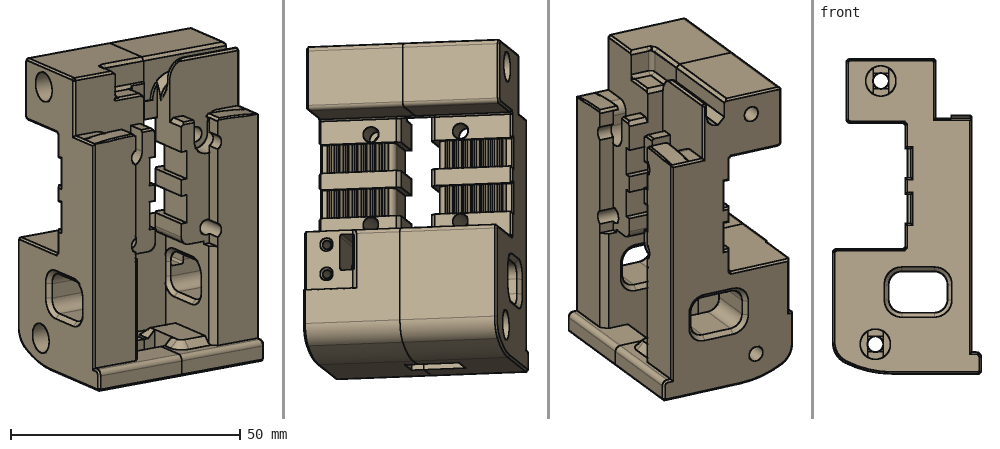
import cadquery as cq
import math


HALF_WIDTH = 21.6
HEIGHT = 68.75
FOOT_X = 32.4
FOOT_TOP = 4.8
FOOT_RADIUS = 1.2
BACK_X = 30.35
SHELF_Z = 55.75
UPPER_LEFT = 2.9
UPPER_RIGHT = 22.5
UPPER_BOTTOM = 54.7
LOWER_TOP = 27.3
WEB_X = 15.8
UPPER_ROUND = 1.0
LOWER_ROUND = 0.9
EDGE_CHAMFER = 0.5
INNER_CHAMFER = 0.4
END_CHAMFER = 0.45
BELLY_RADIUS = 22.9
BELLY_X = 13.0
CORNER_RADIUS = 5.0

SCREW_Y = 10.0
SCREW_LEVELS = (31.0, 51.0)
SCREW_DIAMETER = 3.4
HEAD_RADIUS = 3.2
BELT_LEVELS = (36.0, 46.0)
BELT_WIDTH = 6.3
BELT_DEPTH = 1.25
BELT_CHANNEL_Y = 4.8
BELT_ROUND = 1.4
TOOTH_PITCH = 2.0
TOOTH_COUNT = 7
FIRST_TOOTH_Y = 19.2
TOOTH_BASE = 1.6
TOOTH_TIP = 0.4
TOOTH_HEIGHT = 0.75

CHANNEL_Y = 3.4
WEB_CHAMFER = 0.9
WEB_BACK_X = 27.05
WEB_BOTTOM = 27.9
WEB_BOTTOM_RADIUS = 1.9
WEB_BACK_CHAMFER = 0.45
COLUMN_Y = 10.7
CAVITY_X = 11.8
CAVITY_Y = 9.3
CAVITY_MOUTH_CHAMFER = 1.4
FLOOR_SLOT_X = (17.5, 24.2)
PAD_START_X = 14.0
PAD_X = 29.3
PAD_RADIUS = 2.9
PAD_Y = 1.0
PAD_HEIGHT = 1.75
FLOOR_SLOT_END_Y = PAD_Y + PAD_HEIGHT

TAB_X = 25.8
TAB_TOP = 56.4
TAB_BACK_CHAMFER = 0.35
TAB_INNER_ROUND = 0.6
SHELF_ROUND = 2.4

SEAT_X = 17.2
SEAT_Z = 62.5
SEAT_END_Y = 10.9
SEAT_CORNER_RADIUS = 1.0
SEAT_FLOOR_CHAMFER = 0.8
SEAT_TOP_CHAMFER = 0.75
CABLE_PASS_X = 17.55
TROUGH_Z = 63.05
TROUGH_SLOPE = 1.6
TROUGH_FILLET = 2.7
BEND_RADIUS = 4.2
FIN_THICKNESS = 0.85
FIN_X = UPPER_RIGHT - FIN_THICKNESS

BOLT_POSITIONS = ((10.5, 63.9), (9.3, 6.5))
BOLT_DIAMETER = 3.4
BOLT_HEAD_DIAMETER = 6.6
BOLT_HEAD_DEPTH = 8.0
BRIDGE_STEP = 0.3

OVAL_X = 18.62
OVAL_Z = 17.87
OVAL_WIDTH = 12.75
OVAL_HEIGHT = 8.95
OVAL_RADIUS = 2.85
OVAL_CHAMFER = 1.0

RECESS_DEPTH = 0.9
RECESS_Y = 10.7
RECESS_Z = 14.3
RECESS_CHAMFER = 1.0
PILOT_Y = 16.6
PILOT_LEVELS = (17.8, 24.3)
PILOT_DIAMETER = 1.9
PILOT_CHAMFER = 0.5
PILOT_DEPTH = 8.0
WIRE_SLOT_Y = (10.4, 13.6)
WIRE_SLOT_Z = (18.5, 26.4)
WIRE_SLOT_CORNER = 0.5

MARGIN = 1.0
NEARLY_FULL = 0.999


def box(x, y, z):
    """Box between the two values given for each axis."""
    size = (x[1] - x[0], y[1] - y[0], z[1] - z[0])
    return cq.Workplane("XY").box(*size, centered=False).translate((x[0], y[0], z[0]))


def prism_x(points, x):
    """Prism along X over an outline of (y, z) points."""
    return cq.Workplane("YZ", origin=(x[0], 0, 0)).polyline(points).close().extrude(x[1] - x[0])


def prism_y(points, y):
    """Prism along Y over an outline of (x, z) points."""
    return cq.Workplane("XZ", origin=(0, y[0], 0)).polyline(points).close().extrude(y[0] - y[1])


def prism_z(points, z):
    """Prism along Z over an outline of (x, y) points."""
    return cq.Workplane("XY", origin=(0, 0, z[0])).polyline(points).close().extrude(z[1] - z[0])


def cylinder_x(radius, y, z, x):
    """Cylinder along X between the two values given for x."""
    return cq.Workplane("YZ", origin=(x[0], y, z)).circle(radius).extrude(x[1] - x[0])


def profile_block():
    """Extruded outline shared by both halves, with a chamfered outer end."""
    corner_z = BELLY_RADIUS - math.sqrt((BELLY_RADIUS - CORNER_RADIUS) ** 2 - (BELLY_X - CORNER_RADIUS) ** 2)
    belly_tilt = math.asin((BELLY_X - CORNER_RADIUS) / (BELLY_RADIUS - CORNER_RADIUS))
    corner_turn = (math.pi / 2 - belly_tilt) / 2

    def on_belly(tilt):
        return BELLY_X - BELLY_RADIUS * math.sin(tilt), BELLY_RADIUS * (1 - math.cos(tilt))

    corner_middle = (
        CORNER_RADIUS * (1 - math.cos(corner_turn)),
        corner_z - CORNER_RADIUS * math.sin(corner_turn),
    )
    foot_middle = (
        FOOT_X - FOOT_RADIUS * (1 - math.sqrt(0.5)),
        FOOT_TOP - FOOT_RADIUS * (1 - math.sqrt(0.5)),
    )
    outline = (
        cq.Workplane("XZ")
        .moveTo(UPPER_LEFT, HEIGHT)
        .lineTo(UPPER_RIGHT - EDGE_CHAMFER, HEIGHT)
        .lineTo(UPPER_RIGHT, HEIGHT - EDGE_CHAMFER)
        .lineTo(UPPER_RIGHT, SHELF_Z)
        .lineTo(BACK_X, SHELF_Z)
        .lineTo(BACK_X, FOOT_TOP)
        .lineTo(FOOT_X - FOOT_RADIUS, FOOT_TOP)
        .threePointArc(foot_middle, (FOOT_X, FOOT_TOP - FOOT_RADIUS))
        .lineTo(FOOT_X, EDGE_CHAMFER)
        .lineTo(FOOT_X - EDGE_CHAMFER, 0)
        .lineTo(BELLY_X, 0)
        .threePointArc(on_belly(belly_tilt / 2), on_belly(belly_tilt))
        .threePointArc(corner_middle, (0, corner_z))
        .lineTo(0, LOWER_TOP)
        .lineTo(WEB_X - INNER_CHAMFER, LOWER_TOP)
        .lineTo(WEB_X, LOWER_TOP + INNER_CHAMFER)
    )
    groove_x = WEB_X + BELT_DEPTH
    for level in BELT_LEVELS:
        bottom = level - BELT_WIDTH / 2
        top = level + BELT_WIDTH / 2
        outline = outline.lineTo(WEB_X, bottom).lineTo(groove_x, bottom)
        outline = outline.lineTo(groove_x, top).lineTo(WEB_X, top)
    block = (
        outline.lineTo(WEB_X, UPPER_BOTTOM - INNER_CHAMFER)
        .lineTo(WEB_X - INNER_CHAMFER, UPPER_BOTTOM)
        .lineTo(UPPER_LEFT, UPPER_BOTTOM)
        .close()
        .extrude(-HALF_WIDTH)
    )
    middle_y = HALF_WIDTH / 2
    upper_edges = [(UPPER_LEFT, middle_y, UPPER_BOTTOM), (UPPER_LEFT, middle_y, HEIGHT)]
    for point in upper_edges:
        block = block.edges(cq.NearestToPointSelector(point)).fillet(UPPER_ROUND)
    block = block.edges(cq.NearestToPointSelector((0, middle_y, LOWER_TOP))).fillet(LOWER_ROUND)
    return block.faces(">Y").edges().chamfer(END_CHAMFER)


def belt_teeth():
    """Trapezoidal ribs across both grooves."""
    floor_x = WEB_X + BELT_DEPTH
    tip_x = floor_x - TOOTH_HEIGHT
    teeth = cq.Workplane("XY")
    for level in BELT_LEVELS:
        for index in range(TOOTH_COUNT):
            y = FIRST_TOOTH_Y - index * TOOTH_PITCH
            points = [
                (floor_x + MARGIN, y - TOOTH_BASE / 2),
                (floor_x, y - TOOTH_BASE / 2),
                (tip_x, y - TOOTH_TIP / 2),
                (tip_x, y + TOOTH_TIP / 2),
                (floor_x, y + TOOTH_BASE / 2),
                (floor_x + MARGIN, y + TOOTH_BASE / 2),
            ]
            teeth = teeth.union(prism_z(points, (level - BELT_WIDTH / 2, level + BELT_WIDTH / 2)))
    return teeth


def channel_rim(top, x):
    """Chamfer cutter where the passage wall meets a level surface."""
    rim = [(CHANNEL_Y, top - WEB_CHAMFER), (CHANNEL_Y + WEB_CHAMFER, top), (CHANNEL_Y, top)]
    return prism_x(rim, x)


def cut_channel(half):
    """Passage between the webs, widened at the belts and open through the shelf."""
    channel_x = (WEB_X, FOOT_X)
    half = half.cut(box(channel_x, (0, CHANNEL_Y), (LOWER_TOP, UPPER_BOTTOM)))
    half = half.cut(box((UPPER_RIGHT, FOOT_X), (0, CHANNEL_Y), (UPPER_BOTTOM, HEIGHT)))
    half = half.cut(box((CABLE_PASS_X, UPPER_RIGHT), (0, CHANNEL_Y), (UPPER_BOTTOM, HEIGHT)))
    web_edge = [(WEB_X, CHANNEL_Y), (WEB_X + WEB_CHAMFER, CHANNEL_Y), (WEB_X, CHANNEL_Y + WEB_CHAMFER)]
    half = half.cut(prism_z(web_edge, (LOWER_TOP, UPPER_BOTTOM)))
    half = half.cut(channel_rim(SHELF_Z, (UPPER_RIGHT, WEB_BACK_X)))
    round_x = WEB_X + BELT_DEPTH + BELT_ROUND
    round_y = BELT_CHANNEL_Y + BELT_ROUND
    for level in BELT_LEVELS:
        span = (level - BELT_WIDTH / 2, level + BELT_WIDTH / 2)
        half = half.cut(box(channel_x, (0, BELT_CHANNEL_Y), span))
        rounding = box((WEB_X, round_x), (BELT_CHANNEL_Y, round_y), span)
        cylinder = (
            cq.Workplane("XY", origin=(round_x, round_y, span[0])).circle(BELT_ROUND).extrude(BELT_WIDTH)
        )
        half = half.cut(rounding.cut(cylinder))
    return half


def cut_cavity(half):
    """Cavity in the lower block, open at the back, and the set-back rear of the web."""
    cavity = box((CAVITY_X, FOOT_X), (0, CAVITY_Y), (FOOT_TOP, WEB_BOTTOM))
    mouth = [
        (BACK_X - CAVITY_MOUTH_CHAMFER, CAVITY_Y),
        (BACK_X, CAVITY_Y + CAVITY_MOUTH_CHAMFER),
        (BACK_X, CAVITY_Y),
    ]
    web_rear = box((WEB_BACK_X, FOOT_X), (0, COLUMN_Y), (LOWER_TOP, SHELF_Z))
    half = half.cut(cavity).cut(web_rear).cut(prism_z(mouth, (FOOT_TOP, LOWER_TOP)))
    back_rim = [
        (WEB_BACK_X - WEB_BACK_CHAMFER, SHELF_Z),
        (WEB_BACK_X, SHELF_Z - WEB_BACK_CHAMFER),
        (WEB_BACK_X, SHELF_Z),
    ]
    half = half.cut(prism_y(back_rim, (CHANNEL_Y, COLUMN_Y)))
    front_rim = [(WEB_X, WEB_BOTTOM), (WEB_X + WEB_CHAMFER, WEB_BOTTOM), (WEB_X, WEB_BOTTOM + WEB_CHAMFER)]
    half = half.cut(prism_y(front_rim, (CHANNEL_Y, CAVITY_Y)))
    corner = box(
        (WEB_X, WEB_BACK_X),
        (CHANNEL_Y, CHANNEL_Y + WEB_BOTTOM_RADIUS),
        (WEB_BOTTOM, WEB_BOTTOM + WEB_BOTTOM_RADIUS),
    )
    round_centre = (CHANNEL_Y + WEB_BOTTOM_RADIUS, WEB_BOTTOM + WEB_BOTTOM_RADIUS)
    return half.cut(corner.cut(cylinder_x(WEB_BOTTOM_RADIUS, *round_centre, (WEB_X, WEB_BACK_X))))


def cut_clamp_screws(half):
    """Screw holes along X; the upper head seat is open to the shelf."""
    for level in SCREW_LEVELS:
        half = half.cut(cylinder_x(SCREW_DIAMETER / 2, SCREW_Y, level, (WEB_X, FOOT_X)))
    seat_x = (UPPER_RIGHT, WEB_BACK_X)
    seat_z = SCREW_LEVELS[-1]
    outer_y = SCREW_Y + HEAD_RADIUS
    half = half.cut(cylinder_x(HEAD_RADIUS, SCREW_Y, seat_z, seat_x))
    half = half.cut(box(seat_x, (SCREW_Y - HEAD_RADIUS, outer_y), (seat_z, SHELF_Z)))
    lip = box(seat_x, (outer_y, outer_y + SHELF_ROUND), (SHELF_Z - SHELF_ROUND, SHELF_Z))
    return half.cut(lip.cut(cylinder_x(SHELF_ROUND, outer_y + SHELF_ROUND, SHELF_Z - SHELF_ROUND, seat_x)))


def shelf_tab():
    """Raised tab behind the screw head, its top falling in a shallow arc to the outer end."""
    inner = COLUMN_Y + TAB_INNER_ROUND
    drop = TAB_TOP - SHELF_Z
    run = HALF_WIDTH - END_CHAMFER - inner
    radius = (run ** 2 + drop ** 2) / (2 * drop)
    half_turn = math.asin(run / radius) / 2
    middle = (inner + radius * math.sin(half_turn), TAB_TOP - radius * (1 - math.cos(half_turn)))
    tab = (
        cq.Workplane("YZ", origin=(TAB_X, 0, 0))
        .moveTo(COLUMN_Y, SHELF_Z)
        .lineTo(COLUMN_Y, TAB_TOP - TAB_INNER_ROUND)
        .lineTo(inner, TAB_TOP)
        .threePointArc(middle, (inner + run, SHELF_Z))
        .close()
        .extrude(BACK_X - TAB_X)
    )
    return tab.edges(cq.NearestToPointSelector((BACK_X, *middle))).chamfer(TAB_BACK_CHAMFER)


def cut_bolts(half):
    """Bolt holes along Y through the half."""
    return half.cut(
        cq.Workplane("XZ").pushPoints(BOLT_POSITIONS).circle(BOLT_DIAMETER / 2).extrude(-HALF_WIDTH)
    )


def cut_bolt_heads(half):
    """Head counterbores at the outer end, stepped through a slot and a square to the round hole."""
    floor_y = HALF_WIDTH - BOLT_HEAD_DEPTH
    side = BOLT_DIAMETER / 2
    for x, z in BOLT_POSITIONS:
        head = cq.Workplane("XZ", origin=(x, floor_y, z)).circle(BOLT_HEAD_DIAMETER / 2)
        slot_y = (floor_y - BRIDGE_STEP, floor_y)
        square_y = (floor_y - 2 * BRIDGE_STEP, slot_y[0])
        column = (
            cq.Workplane("XZ", origin=(x, slot_y[0], z)).circle(BOLT_HEAD_DIAMETER / 2).extrude(-BRIDGE_STEP)
        )
        slot = column.intersect(box((x - side, x + side), slot_y, (0, HEIGHT)))
        square = box((x - side, x + side), square_y, (z - side, z + side))
        half = half.cut(head.extrude(-BOLT_HEAD_DEPTH)).cut(slot).cut(square)
    return half


def cut_oval(half):
    """Rounded opening along Y, flared at the outer end and at the cavity wall."""
    centre = (OVAL_X, 0, OVAL_Z)
    opening = (
        box((-OVAL_WIDTH / 2, OVAL_WIDTH / 2), (CAVITY_Y, HALF_WIDTH), (-OVAL_HEIGHT / 2, OVAL_HEIGHT / 2))
        .edges("|Y")
        .fillet(OVAL_RADIUS)
        .translate(centre)
    )
    flare = (
        box(
            (-OVAL_WIDTH / 2 - OVAL_CHAMFER, OVAL_WIDTH / 2 + OVAL_CHAMFER),
            (0, OVAL_CHAMFER),
            (-OVAL_HEIGHT / 2 - OVAL_CHAMFER, OVAL_HEIGHT / 2 + OVAL_CHAMFER),
        )
        .edges("|Y")
        .fillet(OVAL_RADIUS + OVAL_CHAMFER)
    )
    nearly_full = NEARLY_FULL * OVAL_CHAMFER
    outer_y = HALF_WIDTH - OVAL_CHAMFER
    outer = flare.faces("<Y").edges().chamfer(nearly_full).translate((OVAL_X, outer_y, OVAL_Z))
    inner = flare.faces(">Y").edges().chamfer(nearly_full).translate((OVAL_X, CAVITY_Y, OVAL_Z))
    return half.cut(opening).cut(outer).cut(inner)


def trough_section(y):
    """Trough outline at the given Y: one side slopes, the other rounds up into the fin."""
    fillet_x = FIN_X - TROUGH_FILLET
    fillet_z = TROUGH_Z + TROUGH_FILLET
    diagonal = TROUGH_FILLET * math.sqrt(0.5)
    return (
        cq.Workplane("XZ", origin=(0, y, 0))
        .moveTo(SEAT_X, HEIGHT)
        .lineTo(SEAT_X, TROUGH_Z + TROUGH_SLOPE)
        .lineTo(SEAT_X + TROUGH_SLOPE, TROUGH_Z)
        .lineTo(fillet_x, TROUGH_Z)
        .threePointArc((fillet_x + diagonal, fillet_z - diagonal), (FIN_X, fillet_z))
        .lineTo(FIN_X, HEIGHT)
        .close()
    )


def cut_trough(half):
    """Trough beside the fin, bending down into the passage."""
    bend_y = CHANNEL_Y + BEND_RADIUS
    axis_z = TROUGH_Z - BEND_RADIUS
    straight = trough_section(CHANNEL_Y).extrude(CHANNEL_Y - HALF_WIDTH)
    bend = trough_section(bend_y).revolve(90, (0, axis_z, 0), (1, axis_z, 0))
    return half.cut(straight).cut(bend)


def basic_half():
    """Everything that the two halves share, on the +Y side."""
    half = profile_block().union(belt_teeth())
    half = cut_channel(half)
    half = cut_cavity(half)
    half = cut_clamp_screws(half)
    half = half.union(shelf_tab())
    half = cut_bolts(half)
    return cut_oval(half)


def seat_box(x, y, bottom, corner_radius):
    """Box up to the top face with its inner upright edge rounded; it runs past the open sides."""
    block = box((x, UPPER_RIGHT + MARGIN), (-MARGIN, y), (bottom, HEIGHT))
    return block.edges("|Z").edges("<X and >Y").fillet(corner_radius)


def cable_seat():
    """Cutter for the cable seat, with a sloped strip where the floor meets the walls."""
    seat = seat_box(SEAT_X, SEAT_END_Y, SEAT_Z, SEAT_CORNER_RADIUS)
    return seat.faces("<Z").edges("<X or >Y or (not (|X or |Y))").chamfer(SEAT_FLOOR_CHAMFER)


def seat_rim():
    """Cutter for the chamfer around the top of the cable seat."""
    rim = seat_box(
        SEAT_X - SEAT_TOP_CHAMFER,
        SEAT_END_Y + SEAT_TOP_CHAMFER,
        HEIGHT - SEAT_TOP_CHAMFER,
        SEAT_CORNER_RADIUS + SEAT_TOP_CHAMFER,
    )
    return rim.faces("<Z").edges("<X or >Y or (not (|X or |Y))").chamfer(NEARLY_FULL * SEAT_TOP_CHAMFER)


def front_half():
    """Front half, first shaped on the +Y side and then mirrored to -Y."""
    half = basic_half()
    half = cut_bolt_heads(half)
    half = half.cut(box(FLOOR_SLOT_X, (0, CAVITY_Y), (0, FOOT_TOP)))
    half = half.cut(cable_seat()).cut(seat_rim())
    half = half.cut(channel_rim(SEAT_Z, (SEAT_X, UPPER_RIGHT)))
    seat_edge = [
        (UPPER_RIGHT - EDGE_CHAMFER, SEAT_Z),
        (UPPER_RIGHT, SEAT_Z - EDGE_CHAMFER),
        (UPPER_RIGHT, SEAT_Z),
    ]
    half = half.cut(prism_y(seat_edge, (0, SEAT_END_Y)))
    end_rim = [
        (SEAT_END_Y, HEIGHT - SEAT_TOP_CHAMFER),
        (SEAT_END_Y + SEAT_TOP_CHAMFER, HEIGHT),
        (SEAT_END_Y, HEIGHT),
    ]
    half = half.cut(prism_x(end_rim, (SEAT_X, UPPER_RIGHT)))
    return half.mirror("XZ")


def cavity_pad():
    """Pad on the cavity floor beside the slot, with sloped sides."""
    pad = box((PAD_START_X, PAD_X), (PAD_Y, CAVITY_Y + PAD_HEIGHT), (FOOT_TOP, FOOT_TOP + PAD_HEIGHT))
    pad = pad.edges(cq.NearestToPointSelector((PAD_X, PAD_Y, FOOT_TOP + PAD_HEIGHT / 2))).fillet(PAD_RADIUS)
    return pad.faces(">Z").edges().chamfer(NEARLY_FULL * PAD_HEIGHT)


def cut_switch_recess(half):
    """Shallow recess with two pilot holes and a wire slot reaching the oval opening."""
    recess = [
        (0, RECESS_Y - RECESS_CHAMFER),
        (RECESS_DEPTH, RECESS_Y),
        (RECESS_DEPTH, HALF_WIDTH - END_CHAMFER),
        (RECESS_DEPTH + END_CHAMFER, HALF_WIDTH),
        (0, HALF_WIDTH),
    ]
    half = half.cut(prism_z(recess, (RECESS_Z, LOWER_TOP)))
    for level in PILOT_LEVELS:
        half = half.cut(cylinder_x(PILOT_DIAMETER / 2, PILOT_Y, level, (0, PILOT_DEPTH)))
        mouth = cq.Solid.makeCone(
            PILOT_DIAMETER / 2 + PILOT_CHAMFER,
            PILOT_DIAMETER / 2,
            PILOT_CHAMFER,
            cq.Vector(RECESS_DEPTH, PILOT_Y, level),
            cq.Vector(1, 0, 0),
        )
        half = half.cut(cq.Workplane(mouth))
    slot = box((RECESS_DEPTH, OVAL_X), WIRE_SLOT_Y, WIRE_SLOT_Z).edges("|X").fillet(WIRE_SLOT_CORNER)
    return half.cut(slot)


def rear_half():
    """Rear half with the cable trough, fin, floor pad and switch recess."""
    half = basic_half()
    half = half.union(cavity_pad())
    half = half.cut(box(FLOOR_SLOT_X, (0, FLOOR_SLOT_END_Y), (0, FOOT_TOP + PAD_HEIGHT)))
    half = cut_trough(half)
    rim = [(SEAT_X, HEIGHT - SEAT_TOP_CHAMFER), (SEAT_X - SEAT_TOP_CHAMFER, HEIGHT), (SEAT_X, HEIGHT)]
    half = half.cut(prism_y(rim, (0, HALF_WIDTH)))
    half = half.cut(box((SEAT_X, CABLE_PASS_X), (0, CHANNEL_Y), (SEAT_Z, HEIGHT)))
    fin_end = (CHANNEL_Y, CHANNEL_Y + BEND_RADIUS)
    fin_x = (FIN_X, UPPER_RIGHT)
    fin_corner = box(fin_x, fin_end, (HEIGHT - BEND_RADIUS, HEIGHT))
    half = half.cut(fin_corner.cut(cylinder_x(BEND_RADIUS, fin_end[1], HEIGHT - BEND_RADIUS, fin_x)))
    return cut_switch_recess(half)


front = front_half()
rear = rear_half()
result = cq.Compound.makeCompound([front.val(), rear.val()])